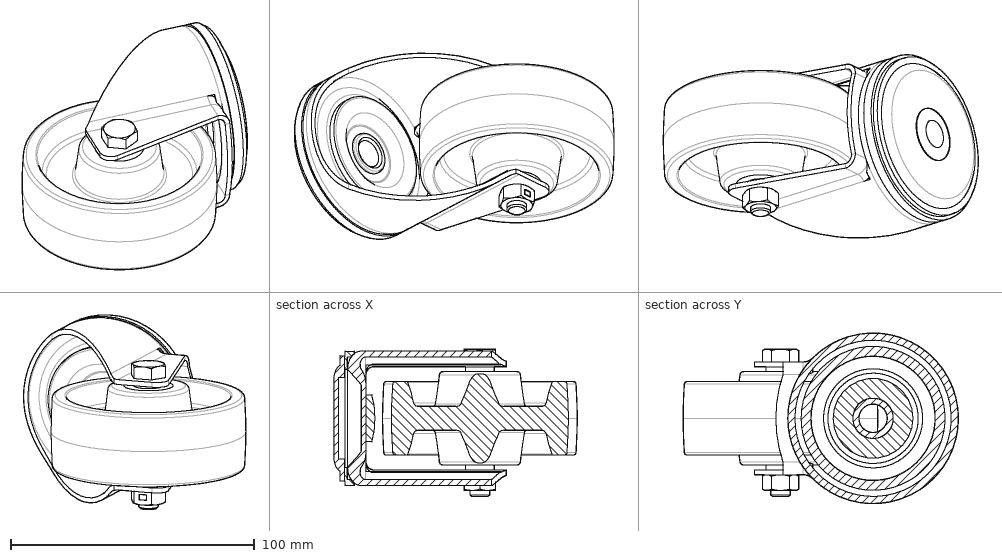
import cadquery as cq
import math


axle_x = 38.0
tread_radius = 40.0
tread_edge_radius = 39.4
wheel_half_width = 15.1
tread_edge_round = 1.2
rim_lip_radius = 33.9
rim_root_radius = 31.4
rim_lip_round = 0.6
rim_root_round = 1.7
web_half_thickness = 5.0
hub_base_radius = 18.4
hub_end_radius = 16.5
hub_end_round = 1.6
hub_base_round = 1.0
hub_half_length = 19.2
bush_radius = 10.0
spacer_radius = 6.0

bolt_radius = 4.1
bolt_end_z = -32.1
bolt_end_chamfer = 0.7
hex_across_flats = 13.0
hex_corner_radius = hex_across_flats / math.sqrt(3)
hex_chamfer_height = 0.6
head_height = 5.2
nut_height = 6.4
nut_mark_length = 3.2
nut_mark_height = 2.3
nut_mark_depth = 0.3

sheet = 2.0
skirt_radius = 35.0
leg_outer_z = 23.2
leg_inner_z = leg_outer_z - sheet
leg_bend_radius = 5.9
flange_top_y = 48.7
flange_bottom_y = flange_top_y - sheet
flange_bend_radius = 5.2
shoulder_radius = 5.6
leg_bottom_y = -10.8
leg_corner_radius = 5.0
leg_edge_top = (37.0, 43.5)
leg_edge_bottom_x = 50.0
skirt_bottom_y = 45.8
skirt_cut_angle = 46.9
skirt_cut_radius = 20.3
skirt_cut_corner_x = -26.0
flange_tip_x = 39.9
blank_end_x = 56.5
dome_top_y = flange_top_y + shoulder_radius
bend_centre_z = leg_outer_z + leg_bend_radius
bend_centre_x = math.sqrt((skirt_radius + leg_bend_radius) ** 2 - bend_centre_z**2)
bend_start_x = bend_centre_x * skirt_radius / (skirt_radius + leg_bend_radius)

race_turn_radius = 29.2
race_turn_angle = math.radians(48)
race_floor_radius = 25.4
race_hole_radius = 20.3

cup_crest_radius = 20.0
cup_crest_y = 42.7
cup_outer_radius = 23.6
cup_wall_y = 44.3
cup_lip_radius = 22.8
cup_lip_y = 43.8
cup_cone_radius = 16.5
cup_cone_y = 44.4
cup_floor_radius = 12.5
cup_floor_y = 48.6
cup_floor_round = 0.7

cover_top_y = 60.0
cover_top_radius = 27.2
cover_shoulder = (29.7, 58.8)
cover_foot_radius = 30.7
cover_flange_radius = 33.6
cover_flange_y = 57.4
ring_top_y = cover_flange_y - sheet
ring_bottom_y = 51.5
ring_inner_radius = 29.4
rivet_head_radius = 11.1
rivet_head_edge = 0.3
rivet_top_y = 61.0
rivet_radius = 8.1
rivet_collar_radius = 8.8
rivet_collar_height = 1.4
rivet_collar_round = 0.7
rivet_bore_radius = 5.8
rivet_bore_chamfer = 1.0


def turned_about_swivel(profile):
    """Revolve an XY profile about the swivel axis."""
    return profile.close().revolve(360, (0, 0), (0, 1))


def swivel_cylinder(radius, bottom_y, top_y):
    return cq.Workplane("XZ", origin=(0, bottom_y, 0)).circle(radius).extrude(bottom_y - top_y)


def axle_cylinder(radius, bottom_z, top_z):
    return cq.Workplane("XY", origin=(axle_x, 0, bottom_z)).circle(radius).extrude(top_z - bottom_z)


def hexagon(bottom_z, height):
    return (
        cq.Workplane("XY", origin=(axle_x, 0, bottom_z))
        .polygon(6, 2 * hex_corner_radius)
        .extrude(height)
    )


def chamfered_hexagon(bottom_z, height, faces):
    """Hexagon whose corners are turned off at the given end faces."""
    turned = axle_cylinder(hex_corner_radius, bottom_z, bottom_z + height)
    corner_overhang = hex_corner_radius - hex_across_flats / 2
    turned = turned.faces(faces).chamfer(hex_chamfer_height, corner_overhang)
    return hexagon(bottom_z, height).intersect(turned)


def make_wheel():
    mid_tread_radius = (tread_radius * 3 + tread_edge_radius) / 4
    half = (
        cq.Workplane("XZ")
        .moveTo(bush_radius, 0)
        .lineTo(bush_radius, hub_half_length)
        .lineTo(hub_end_radius, hub_half_length)
        .lineTo(hub_base_radius, web_half_thickness)
        .lineTo(rim_root_radius, web_half_thickness)
        .lineTo(rim_lip_radius, wheel_half_width)
        .lineTo(tread_edge_radius, wheel_half_width)
        .threePointArc((mid_tread_radius, wheel_half_width / 2), (tread_radius, 0))
        .close()
        .revolve(360, (0, 0), (0, 1))
    )

    def round_circle(body, radius, height, fillet):
        reach = 0.06
        picker = cq.selectors.BoxSelector(
            (-radius - reach, -radius - reach, height - reach),
            (radius + reach, radius + reach, height + reach),
            boundingbox=True,
        )
        inner = radius - reach
        skip = cq.selectors.BoxSelector(
            (-inner, -inner, height - reach), (inner, inner, height + reach), boundingbox=True
        )
        return body.edges(picker - skip).fillet(fillet)

    half = round_circle(half, tread_edge_radius, wheel_half_width, tread_edge_round)
    half = round_circle(half, rim_lip_radius, wheel_half_width, rim_lip_round)
    half = round_circle(half, rim_root_radius, web_half_thickness, rim_root_round)
    half = round_circle(half, hub_base_radius, web_half_thickness, hub_base_round)
    half = round_circle(half, hub_end_radius, hub_half_length, hub_end_round)
    return half.union(half.mirror("XY")).translate((axle_x, 0, 0))


def make_bush():
    outside = axle_cylinder(bush_radius, -hub_half_length, hub_half_length)
    return outside.cut(axle_cylinder(spacer_radius, -hub_half_length, hub_half_length))


def make_spacer():
    outside = axle_cylinder(spacer_radius, -leg_inner_z, leg_inner_z)
    return outside.cut(axle_cylinder(bolt_radius, -leg_inner_z, leg_inner_z))


def make_bolt():
    shank = axle_cylinder(bolt_radius, bolt_end_z, leg_outer_z)
    shank = shank.faces("<Z").chamfer(bolt_end_chamfer)
    return shank.union(chamfered_hexagon(leg_outer_z, head_height, ">Z"))


def make_nut():
    bottom_z = -leg_outer_z - nut_height
    nut = chamfered_hexagon(bottom_z, nut_height, "<Z or >Z")
    mark = cq.Workplane("XY").box(nut_mark_length, 2 * nut_mark_depth, nut_mark_height)
    mark = mark.translate((axle_x, -hex_across_flats / 2, bottom_z + nut_height / 2))
    return nut.cut(mark).cut(axle_cylinder(bolt_radius, bottom_z, -leg_outer_z))


def fork_blank(inset):
    """Solid block of skirt and legs up to the flange, with its faces moved inwards."""
    radius = skirt_radius - inset
    half_gap = leg_outer_z - inset
    bend = leg_bend_radius + inset
    top_y = flange_top_y - inset
    tangent_x = bend_centre_x * radius / (radius + bend)
    tangent_z = bend_centre_z * radius / (radius + bend)
    half_turn = math.atan2(bend_centre_x, bend_centre_z) / 2
    bend_middle_x = bend_centre_x - bend * math.sin(half_turn)
    bend_middle_z = bend_centre_z - bend * math.cos(half_turn)
    return (
        cq.Workplane("XZ", origin=(0, leg_bottom_y, 0))
        .moveTo(tangent_x, tangent_z)
        .threePointArc((-radius, 0), (tangent_x, -tangent_z))
        .threePointArc((bend_middle_x, -bend_middle_z), (bend_centre_x, -half_gap))
        .lineTo(blank_end_x, -half_gap)
        .lineTo(blank_end_x, half_gap)
        .lineTo(bend_centre_x, half_gap)
        .threePointArc((bend_middle_x, bend_middle_z), (tangent_x, tangent_z))
        .close()
        .extrude(leg_bottom_y - top_y)
    )


def fork_side_outline():
    """Block that holds the side outline of skirt and legs through the whole width."""
    angle = math.radians(skirt_cut_angle)
    tangent = skirt_cut_radius * math.tan(angle / 2)
    arc_start_x = skirt_cut_corner_x - tangent
    arc_middle = (
        arc_start_x + skirt_cut_radius * math.sin(angle / 2),
        skirt_bottom_y - skirt_cut_radius * (1 - math.cos(angle / 2)),
    )
    arc_end = (
        skirt_cut_corner_x + tangent * math.cos(angle),
        skirt_bottom_y - tangent * math.sin(angle),
    )
    cut_end_x = skirt_cut_corner_x + (skirt_bottom_y - leg_bottom_y) / math.tan(angle)
    return (
        cq.Workplane("XY", origin=(0, 0, -skirt_radius))
        .moveTo(-blank_end_x, dome_top_y)
        .lineTo(-blank_end_x, skirt_bottom_y)
        .lineTo(arc_start_x, skirt_bottom_y)
        .threePointArc(arc_middle, arc_end)
        .lineTo(cut_end_x, leg_bottom_y)
        .lineTo(leg_edge_bottom_x, leg_bottom_y)
        .lineTo(*leg_edge_top)
        .lineTo(leg_edge_top[0], dome_top_y)
        .close()
        .extrude(2 * skirt_radius)
        .edges("|Z and >X")
        .fillet(leg_corner_radius)
    )


def flange_tip():
    """Bowed end of the flange between the legs."""
    half_width = leg_outer_z - flange_bend_radius
    return (
        cq.Workplane("XZ", origin=(0, flange_bottom_y, 0))
        .moveTo(leg_edge_top[0], -half_width)
        .threePointArc((flange_tip_x, 0), (leg_edge_top[0], half_width))
        .close()
        .extrude(-sheet)
    )


def race_dome():
    """Skirt with its shoulder and the ball race dished down inside it."""
    inner_radius = skirt_radius - sheet
    bend_radius = skirt_radius - shoulder_radius
    slant = math.sqrt(0.5)
    sine = math.sin(race_turn_angle)
    cosine = math.cos(race_turn_angle)
    groove_round = (inner_radius - race_turn_radius) / (1 + sine)
    floor_round = (race_turn_radius - race_floor_radius) / sine
    turn_y = flange_bottom_y + floor_round * (1 - cosine)
    groove_y = turn_y - groove_round * cosine
    groove_top = (inner_radius - groove_round, groove_y + groove_round)
    floor_arc_middle = (
        race_floor_radius + floor_round * math.sin(race_turn_angle / 2),
        flange_bottom_y + floor_round * (1 - math.cos(race_turn_angle / 2)),
    )
    profile = (
        cq.Workplane("XY")
        .moveTo(inner_radius, leg_bottom_y)
        .lineTo(skirt_radius, leg_bottom_y)
        .lineTo(skirt_radius, flange_top_y)
        .threePointArc(
            (bend_radius + shoulder_radius * slant, flange_top_y + shoulder_radius * slant),
            (bend_radius, dome_top_y),
        )
        .lineTo(race_floor_radius, flange_top_y)
        .lineTo(race_hole_radius, flange_top_y)
        .lineTo(race_hole_radius, flange_bottom_y)
        .lineTo(race_floor_radius, flange_bottom_y)
        .threePointArc(floor_arc_middle, (race_turn_radius, turn_y))
        .threePointArc(groove_top, (inner_radius, groove_y))
    )
    leg_space = cq.Workplane("XY").box(skirt_radius, 2 * flange_bottom_y, 2 * skirt_radius)
    leg_space = leg_space.translate((bend_start_x + skirt_radius / 2, 0, 0))
    return turned_about_swivel(profile).cut(leg_space)


def legs():
    """Both legs and the flange between them, bent from one sheet and open below the race."""
    outside = fork_blank(0).faces(">Y").edges("not >X").fillet(flange_bend_radius)
    inside = fork_blank(sheet).faces(">Y").edges("not >X").fillet(flange_bend_radius - sheet)
    length = blank_end_x - bend_start_x
    keep = cq.Workplane("XY").box(length, 2 * flange_top_y, 2 * skirt_radius)
    keep = keep.translate((bend_start_x + length / 2, 0, 0))
    opening = swivel_cylinder(skirt_radius - sheet / 2, flange_bottom_y, flange_top_y)
    return outside.cut(inside).intersect(keep).cut(opening)


def make_fork():
    bolt_hole = axle_cylinder(bolt_radius, -leg_outer_z, leg_outer_z)
    bent_sheet = race_dome().union(legs()).intersect(fork_side_outline())
    return bent_sheet.union(flange_tip()).cut(bolt_hole)


def make_cup():
    profile = (
        cq.Workplane("XY")
        .moveTo(rivet_radius, cup_floor_y)
        .lineTo(cup_floor_radius, cup_floor_y)
        .lineTo(cup_cone_radius, cup_cone_y)
        .threePointArc((cup_crest_radius, cup_crest_y), (cup_lip_radius, cup_lip_y))
        .lineTo(cup_outer_radius, cup_wall_y)
        .lineTo(cup_outer_radius, flange_bottom_y)
        .lineTo(cup_cone_radius + sheet, flange_bottom_y)
        .lineTo(cup_floor_radius + sheet, cup_floor_y + sheet)
        .lineTo(rivet_radius, cup_floor_y + sheet)
    )
    cup = turned_about_swivel(profile)
    floor_edge = cq.selectors.BoxSelector(
        (-cup_cone_radius, cup_floor_y - cup_floor_round, -cup_cone_radius),
        (cup_cone_radius, cup_floor_y + cup_floor_round, cup_cone_radius),
        boundingbox=True,
    )
    return cup.edges(floor_edge).edges(cq.selectors.RadiusNthSelector(-1)).fillet(cup_floor_round)


def make_cover():
    profile = (
        cq.Workplane("XY")
        .moveTo(rivet_radius, cover_top_y)
        .lineTo(cover_top_radius, cover_top_y)
        .threePointArc(cover_shoulder, (cover_foot_radius, cover_flange_y))
        .lineTo(cover_flange_radius, cover_flange_y)
        .lineTo(cover_flange_radius, ring_top_y)
        .lineTo(cover_top_radius, ring_top_y)
        .lineTo(cover_top_radius, cover_top_y - sheet)
        .lineTo(rivet_radius, cover_top_y - sheet)
    )
    return turned_about_swivel(profile)


def make_dust_ring(fork):
    """Ring whose underside fits the shoulder of the fork."""
    ring = swivel_cylinder(skirt_radius, ring_bottom_y, ring_top_y)
    ring = ring.cut(swivel_cylinder(ring_inner_radius, ring_bottom_y, ring_top_y))
    below = swivel_cylinder(skirt_radius - sheet, ring_bottom_y, dome_top_y)
    return ring.cut(fork).cut(below)


def make_rivet():
    collar_bottom_y = cup_floor_y - rivet_collar_height
    profile = (
        cq.Workplane("XY")
        .moveTo(rivet_bore_radius, rivet_top_y)
        .lineTo(rivet_head_radius, cover_top_y + rivet_head_edge)
        .lineTo(rivet_head_radius, cover_top_y)
        .lineTo(rivet_radius, cover_top_y)
        .lineTo(rivet_radius, cup_floor_y)
        .lineTo(rivet_collar_radius, cup_floor_y)
        .lineTo(rivet_collar_radius, collar_bottom_y + rivet_collar_round)
        .radiusArc((rivet_collar_radius - rivet_collar_round, collar_bottom_y), rivet_collar_round)
        .lineTo(rivet_bore_radius + rivet_bore_chamfer, collar_bottom_y)
        .lineTo(rivet_bore_radius, collar_bottom_y + rivet_bore_chamfer)
    )
    return turned_about_swivel(profile)


fork = make_fork()
bodies = [
    fork, make_cup(), make_cover(), make_dust_ring(fork), make_rivet(),
    make_wheel(), make_bush(), make_spacer(), make_bolt(), make_nut(),
]
result = cq.Compound.makeCompound([body.val() for body in bodies])